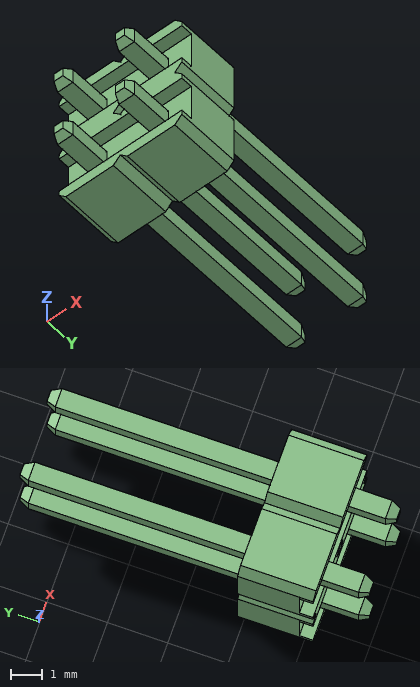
import cadquery as cq

pitch = 2.54
rows = 2
columns = 2
total_length = 11.6
body_depth = 2.5
front_pin_length = 1.5
corner_chamfer = 0.29
channel_height = 1.55
channel_depth = 0.45
pin_width = 0.64
tip_width = 0.37
tip_length = 0.32

body_front = front_pin_length
body_back = body_front + body_depth
housing_width = columns * pitch


def centred_positions(count):
    """Positions of `count` items spaced by the pitch, centred on zero."""
    return [(index - (count - 1) / 2) * pitch for index in range(count)]


def square_prism(x, z, y_start, y_end, width):
    """Square bar along Y centred on (x, z)."""
    y_middle = (y_start + y_end) / 2
    return cq.Workplane("XY").box(width, y_end - y_start, width).translate((x, y_middle, z))


def housing_cell(x, z):
    """One bevelled cell of the housing."""
    cell = square_prism(x, z, body_front, body_back, pitch)
    return cell.edges("|Y").chamfer(corner_chamfer)


def front_channel(z):
    """Cutter for the channel that crosses the housing front along X."""
    y_middle = body_front + channel_depth / 2
    channel = cq.Workplane("XY").box(housing_width, channel_depth, channel_height)
    return channel.translate((0, y_middle, z))


def tapered_tip(x, z, shoulder, end):
    """Pyramid frustum from the full pin section at `shoulder` to the small face at `end`."""
    return (
        cq.Workplane("XZ", origin=(x, shoulder, z))
        .rect(pin_width, pin_width)
        .workplane(offset=shoulder - end)
        .rect(tip_width, tip_width)
        .loft(ruled=True)
    )


def pin(x, z):
    """Square pin with a tapered tip at both ends."""
    front_shoulder = tip_length
    back_shoulder = total_length - tip_length
    shaft = square_prism(x, z, front_shoulder, back_shoulder, pin_width)
    front_tip = tapered_tip(x, z, front_shoulder, 0)
    back_tip = tapered_tip(x, z, back_shoulder, total_length)
    return shaft.union(front_tip).union(back_tip)


pin_places = [(x, z) for x in centred_positions(columns) for z in centred_positions(rows)]

result = cq.Workplane("XY")
for x, z in pin_places:
    result = result.add(housing_cell(x, z))
result = result.combine()
for z in centred_positions(rows):
    result = result.cut(front_channel(z))

for x, z in pin_places:
    result = result.union(pin(x, z))